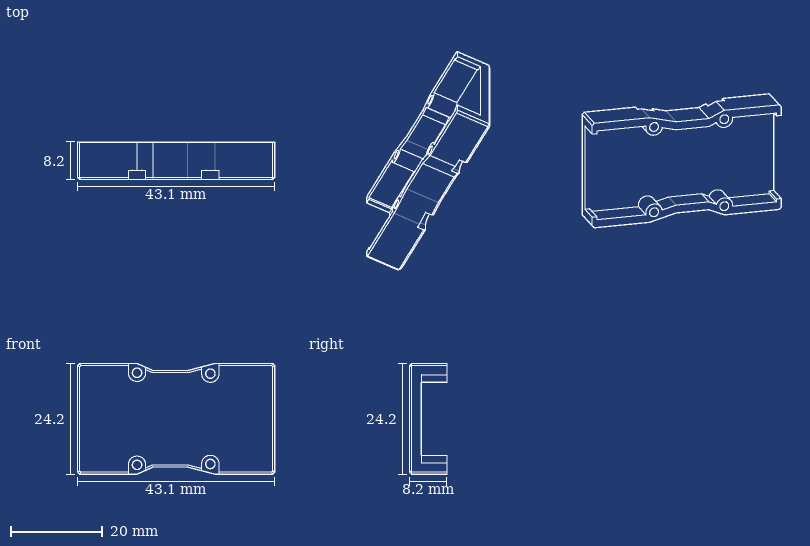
import cadquery as cq

LENGTH = 43.1
DEPTH = 8.2
HEIGHT = 24.2
EDGE_CHAMFER = 0.5

WAIST_DROP = 1.55
WAIST_START_X = -8.55
WAIST_FLAT_START_X = -5.05
WAIST_FLAT_END_X = 2.45
WAIST_END_X = 8.45

FLOOR_THICKNESS = 2.6
WALL_THICKNESS = 1.85
LIP_THICKNESS = 2.5
LIP_LENGTH = 1.1

HOLE_CENTERS = [(-8.55, 10.05), (7.45, 9.85)]
HOLE_DIAMETER = 2.0
SEAT_RADIUS = 1.9
SEAT_DEPTH = 2.0
BOSS_RADIUS = SEAT_RADIUS

FRONT_Y = -DEPTH / 2
BACK_Y = DEPTH / 2
FLOOR_Y = FRONT_Y + FLOOR_THICKNESS
SEAT_Y = FRONT_Y + SEAT_DEPTH

SCREW_POSITIONS = [(x, side * z) for x, z in HOLE_CENTERS for side in (1, -1)]


def prism_plane(y):
    """XZ plane at the given Y whose extrusions run toward +Y; local x is X, local y is -Z."""
    return cq.Workplane(cq.Plane(origin=(0, y, 0), xDir=(1, 0, 0), normal=(0, 1, 0)))


def waisted_prism(half_length, half_height, y_start, y_end):
    """Rectangle narrowed in the middle of its long sides, extruded along Y."""
    waist_height = half_height - WAIST_DROP
    upper_side = [
        (-half_length, half_height),
        (WAIST_START_X, half_height),
        (WAIST_FLAT_START_X, waist_height),
        (WAIST_FLAT_END_X, waist_height),
        (WAIST_END_X, half_height),
        (half_length, half_height),
    ]
    lower_side = [(x, -z) for x, z in reversed(upper_side)]
    return prism_plane(y_start).polyline(upper_side + lower_side).close().extrude(y_end - y_start)


def cylinders_at_screws(radius, y_start, y_end):
    return prism_plane(y_start).pushPoints(SCREW_POSITIONS).circle(radius).extrude(y_end - y_start)


def make_body():
    """Waisted block with chamfered end corners and a chamfered front face."""
    block = waisted_prism(LENGTH / 2, HEIGHT / 2, FRONT_Y, BACK_Y)
    end_corners = block.faces("<X or >X").edges("|Y")
    block = end_corners.chamfer(EDGE_CHAMFER)
    return block.faces("<Y").edges().chamfer(EDGE_CHAMFER)


def make_channel():
    """Hollow behind the floor: a waisted pocket between end lips, around the screw bosses."""
    pocket = waisted_prism(LENGTH / 2 - LIP_LENGTH, HEIGHT / 2 - WALL_THICKNESS, FLOOR_Y, BACK_Y)
    opening_height = HEIGHT - 2 * LIP_THICKNESS
    channel_depth = BACK_Y - FLOOR_Y
    for side in (-1, 1):
        opening_x = side * (LENGTH - LIP_LENGTH) / 2
        opening = prism_plane(FLOOR_Y).center(opening_x, 0).rect(LIP_LENGTH, opening_height)
        pocket = pocket.union(opening.extrude(channel_depth))
    return pocket.cut(cylinders_at_screws(BOSS_RADIUS, FLOOR_Y, BACK_Y))


def make_screw_seats():
    """Round-ended recesses in the front face, open toward the nearer long side."""
    seats = cylinders_at_screws(SEAT_RADIUS, FRONT_Y, SEAT_Y)
    for x, z in SCREW_POSITIONS:
        side = 1 if z > 0 else -1
        slot_length = HEIGHT / 2 - abs(z)
        slot_z = z + side * slot_length / 2
        slot = prism_plane(FRONT_Y).center(x, -slot_z).rect(2 * SEAT_RADIUS, slot_length)
        seats = seats.union(slot.extrude(SEAT_DEPTH))
    return seats


body = make_body().cut(make_channel()).cut(make_screw_seats())
result = body.cut(cylinders_at_screws(HOLE_DIAMETER / 2, FRONT_Y, BACK_Y))